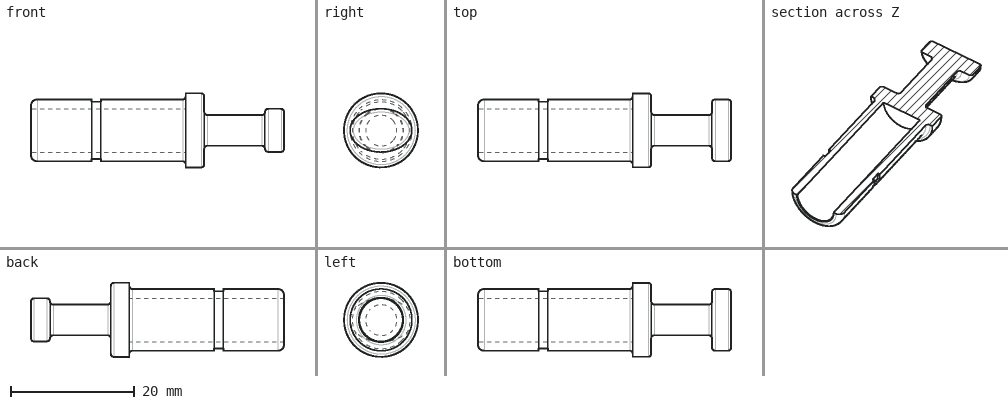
import cadquery as cq
import math

total_length = 40.9
flange_width = 3.0
flange_end = 28.0
flange_start = flange_end - flange_width
head_thickness = 3.1
head_start = total_length - head_thickness

body_diameter = 10.0
body_end_fillet = 1.0
bore_diameter = 7.0
bore_depth = flange_start
mouth_chamfer = 0.1
groove_diameter = 9.3
groove_start = 9.8
groove_width = 1.5

flange_diameter = 12.0
rod_diameter = 5.0
head_width_y = 10.0
head_height_z = 7.0
edge_fillet = 0.5


def cylinder(diameter, start, end):
    """Solid cylinder on the X axis between two stations."""
    return cq.Workplane("YZ", origin=(start, 0, 0)).circle(diameter / 2).extrude(end - start)


def root_fillet(diameter, corner, direction):
    """Concave ring joining a cylinder to a wall at X = corner; direction points away from the wall."""
    inner = diameter / 4
    radius = diameter / 2
    away = corner + direction * edge_fillet
    diagonal = edge_fillet * (1 - math.cos(math.pi / 4))
    return (
        cq.Workplane("XY")
        .moveTo(corner, inner)
        .lineTo(away, inner)
        .lineTo(away, radius)
        .threePointArc(
            (corner + direction * diagonal, radius + diagonal),
            (corner, radius + edge_fillet),
        )
        .close()
        .revolve(360, (0, 0, 0), (1, 0, 0))
    )


def make_bore():
    """Blind hole volume from the open end, widened by a small chamfer at its mouth."""
    bore = cylinder(bore_diameter, 0, bore_depth)
    mouth = cq.Solid.makeCone(
        bore_diameter / 2 + mouth_chamfer,
        bore_diameter / 2,
        mouth_chamfer,
        pnt=cq.Vector(0, 0, 0),
        dir=cq.Vector(1, 0, 0),
    )
    return bore.union(cq.Workplane(mouth))


def make_body():
    """Round sleeve with a rounded open end and a shallow outer groove."""
    body = cylinder(body_diameter, 0, flange_start).faces("<X").edges().fillet(body_end_fillet)
    groove_end = groove_start + groove_width
    groove = cylinder(body_diameter, groove_start, groove_end).cut(
        cylinder(groove_diameter, groove_start, groove_end)
    )
    return body.cut(groove)


def make_flange():
    """Round collar, rounded on the edge facing the head."""
    return cylinder(flange_diameter, flange_start, flange_end).faces(">X").edges().fillet(edge_fillet)


def make_head():
    """Elliptical end plate, rounded on both rims."""
    return (
        cq.Workplane("YZ", origin=(head_start, 0, 0))
        .ellipse(head_width_y / 2, head_height_z / 2)
        .extrude(head_thickness)
        .faces("<X or >X")
        .edges()
        .fillet(edge_fillet)
    )


result = (
    make_body()
    .union(root_fillet(body_diameter, flange_start, -1))
    .union(make_flange())
    .union(cylinder(rod_diameter, flange_end, head_start))
    .union(root_fillet(rod_diameter, flange_end, 1))
    .union(root_fillet(rod_diameter, head_start, -1))
    .union(make_head())
    .cut(make_bore())
)